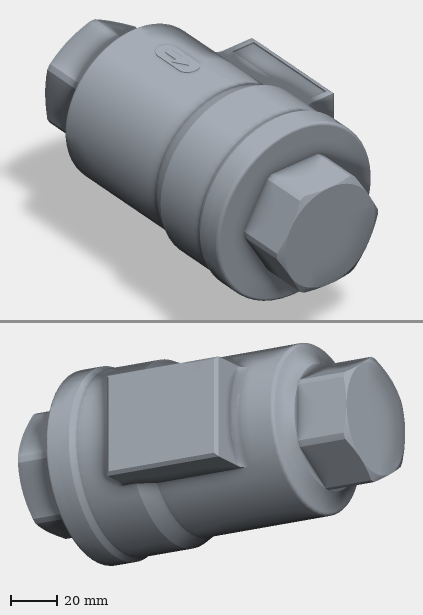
import cadquery as cq
import math

total_length = 165.0
inlet_hex_length = 24.5
outlet_hex_length = 24.0
hex_sides = 6
hex_across_flats = 50.0
hex_corner_radius = 28.0
hex_face_radius = 24.9
hex_chamfer_length = 1.5

shoulder_sag = 0.8
shoulder_length = 5.0
shoulder_fillet = 1.6
barrel_radius = 38.0
barrel_end = 92.0
collar_start = 100.0
collar_radius = 83.0 / 2
collar_end = 126.0

flange_start = 129.0
flange_radius = 86.0 / 2
joint_x = 135.0
flange_end = total_length - outlet_hex_length
cap_fillet = 1.5

box_start = 49.3
box_length = 56.1
box_width = 45.4
total_depth = 94.7
box_reach = total_depth - flange_radius
box_chamfer = 1.5
box_root_fillet = 3.0

recess_margin = 3.0
recess_width = 11.9
recess_depth = 0.8

pad_start = 48.2
pad_length = 24.5
pad_width = 10.0
relief_step = 0.5
pad_radius = barrel_radius + relief_step
arrow_start = 53.5
arrow_length = 14.7
arrow_shaft_length = 7.6
arrow_shaft_width = 3.0
arrow_head_width = 8.0
arrow_radius = pad_radius + relief_step

pick_tolerance = 0.2


def revolve_about_x(profile):
    """Revolve a closed XY profile, drawn as distance along X and radius, about the X axis."""
    return profile.revolve(360, (0, 0, 0), (1, 0, 0))


def edges_at(plane_x, lowest_y):
    """Selector for edges inside the flange radius that lie in the plane X = plane_x, above lowest_y."""
    return cq.selectors.BoxSelector(
        (plane_x - pick_tolerance, lowest_y, -flange_radius),
        (plane_x + pick_tolerance, flange_radius, flange_radius),
        boundingbox=True,
    )


def hex_end(length, first_corner_angle):
    """Hexagonal wrench end with rounded corners and a chamfered outer face at X = 0."""
    corner_distance = hex_across_flats / 2 / math.cos(math.pi / hex_sides)
    corners = []
    for index in range(hex_sides):
        angle = math.radians(first_corner_angle + 360 / hex_sides * index)
        corners.append((corner_distance * math.cos(angle), corner_distance * math.sin(angle)))
    prism = cq.Workplane("YZ").polyline(corners).close().extrude(length)
    envelope = revolve_about_x(
        cq.Workplane("XY")
        .moveTo(0, 0)
        .lineTo(0, hex_face_radius)
        .lineTo(hex_chamfer_length, hex_corner_radius)
        .lineTo(length, hex_corner_radius)
        .lineTo(length, 0)
        .close()
    )
    return prism.intersect(envelope)


def barrel():
    """Round housing body from the inlet shoulder to the flange joint."""
    shoulder_end = inlet_hex_length + shoulder_length
    body = revolve_about_x(
        cq.Workplane("XY")
        .moveTo(inlet_hex_length, 0)
        .lineTo(inlet_hex_length, hex_corner_radius)
        .sagittaArc((shoulder_end, barrel_radius), -shoulder_sag)
        .lineTo(barrel_end, barrel_radius)
        .lineTo(collar_start, collar_radius)
        .lineTo(collar_end, collar_radius)
        .lineTo(flange_start, flange_radius)
        .lineTo(joint_x, flange_radius)
        .lineTo(joint_x, 0)
        .close()
    )
    shoulder_rim = edges_at(shoulder_end, lowest_y=-flange_radius)
    return body.edges(shoulder_rim).fillet(shoulder_fillet)


def add_connector_box(body):
    """Join the box to the barrel, with filleted roots at its two ends."""
    box = (
        cq.Workplane("XY")
        .box(box_length, box_reach, box_width, centered=(False, False, True))
        .translate((box_start, 0, 0))
        .faces(">Y")
        .chamfer(box_chamfer)
    )
    joined = body.union(box)
    for root_x in (box_start, box_start + box_length):
        joined = joined.edges(edges_at(root_x, lowest_y=0)).fillet(box_root_fillet)
    return joined


def label_recess():
    """Block that cuts the label recess into the top of the box."""
    return (
        cq.Workplane("XY")
        .box(box_length - 2 * recess_margin, recess_width, recess_depth, centered=(False, False, False))
        .translate(
            (
                box_start + recess_margin,
                box_reach - recess_margin - recess_width,
                box_width / 2 - recess_depth,
            )
        )
    )


def wrap_on_barrel(outline, outer_radius):
    """Raise an XY outline from inside the barrel wall up to a larger coaxial cylinder."""
    cylinder = cq.Workplane("YZ").circle(outer_radius).extrude(total_length)
    return outline.extrude(flange_radius).intersect(cylinder)


def flow_arrow():
    """Oblong pad with an arrow pointing along +X."""
    pad = cq.Workplane("XY").center(pad_start + pad_length / 2, 0).slot2D(pad_length, pad_width)
    head_x = arrow_start + arrow_shaft_length
    half_shaft = arrow_shaft_width / 2
    half_head = arrow_head_width / 2
    arrow = (
        cq.Workplane("XY")
        .polyline(
            [
                (arrow_start, -half_shaft),
                (head_x, -half_shaft),
                (head_x, -half_head),
                (arrow_start + arrow_length, 0),
                (head_x, half_head),
                (head_x, half_shaft),
                (arrow_start, half_shaft),
            ]
        )
        .close()
    )
    return wrap_on_barrel(pad, pad_radius).union(wrap_on_barrel(arrow, arrow_radius))


def make_housing():
    """Housing: inlet hex (corners up and down), barrel, connector box and flow arrow."""
    body = add_connector_box(barrel())
    body = body.cut(label_recess())
    body = body.union(flow_arrow())
    return body.union(hex_end(inlet_hex_length, first_corner_angle=90))


def make_end_cap():
    """End cap: flange disc with a rounded outer rim and the outlet hex (corners sideways)."""
    disc = (
        cq.Workplane("YZ")
        .workplane(offset=joint_x)
        .circle(flange_radius)
        .extrude(flange_end - joint_x)
        .faces(">X")
        .edges()
        .fillet(cap_fillet)
    )
    outlet_hex = (
        hex_end(outlet_hex_length, first_corner_angle=0)
        .rotate((0, 0, 0), (0, 0, 1), 180)
        .translate((total_length, 0, 0))
    )
    return disc.union(outlet_hex)


housing = make_housing()
end_cap = make_end_cap()

result = cq.Compound.makeCompound([housing.val(), end_cap.val()])